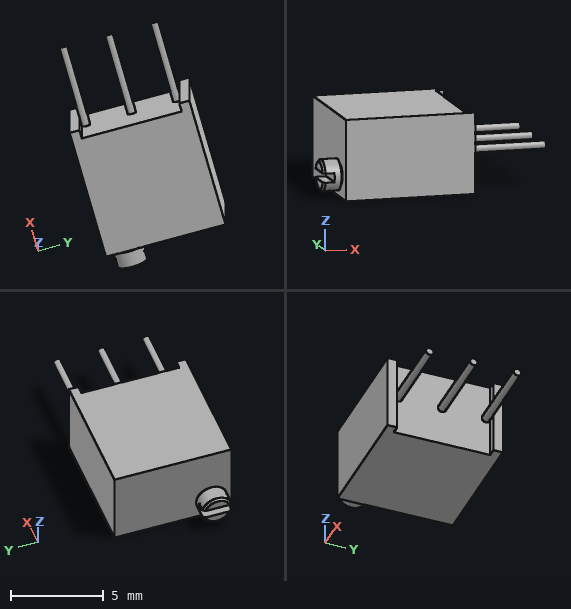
import cadquery as cq

body_length = 7.24
body_width = 6.72
body_height = 4.5

recess_depth = 0.48
rib_width = 0.56

screw_y = 1.22
screw_z = 1.27
head_diameter = 1.74
head_length = 1.0
head_chamfer = 0.13
neck_diameter = 1.12
neck_length = 0.15
slot_width = 0.5
slot_depth = 0.63

overall_length = 12.53
pin_diameter = 0.46
pin_z = 2.34
pin_positions = (0.8, 3.36, 5.9)
pin_embed = 0.13

screw_tip_x = -(head_length + neck_length)
recess_floor_x = body_length - recess_depth
pin_end_x = screw_tip_x + overall_length


def rod(x_start, x_end, y, z, diameter):
    """Cylinder along X between two X positions."""
    plane = cq.Plane(origin=(x_start, y, z), xDir=(0, 1, 0), normal=(1, 0, 0))
    return cq.Workplane(plane).circle(diameter / 2).extrude(x_end - x_start)


def make_body():
    body = cq.Workplane("XY").box(body_length, body_width, body_height, centered=False)
    recess = (
        cq.Workplane("XY")
        .box(recess_depth, body_width - 2 * rib_width, body_height, centered=False)
        .translate((recess_floor_x, rib_width, 0))
    )
    return body.cut(recess)


def make_screw():
    head = rod(screw_tip_x, -neck_length, screw_y, screw_z, head_diameter)
    head = head.faces("<X").chamfer(head_chamfer)
    slot = (
        cq.Workplane("XY")
        .box(slot_depth, head_diameter, slot_width)
        .translate((screw_tip_x + slot_depth / 2, screw_y, screw_z))
    )
    neck = rod(-neck_length, 0, screw_y, screw_z, neck_diameter)
    return head.cut(slot).union(neck)


result = make_body().union(make_screw())
for pin_y in pin_positions:
    result = result.union(rod(recess_floor_x - pin_embed, pin_end_x, pin_y, pin_z, pin_diameter))